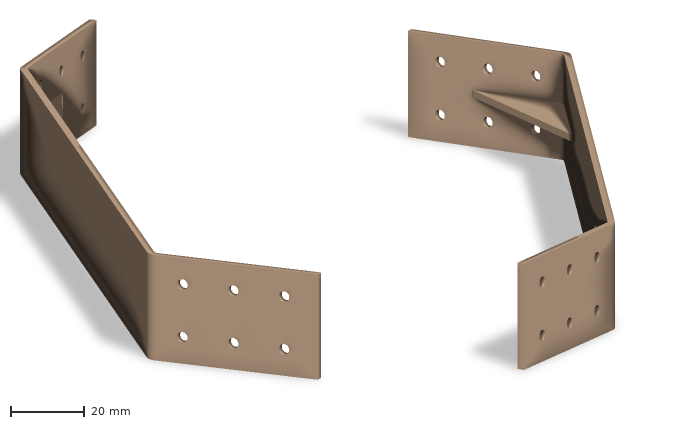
import cadquery as cq
import math

length_x = 150.0
length_y = 200.0
height = 30.0

thickness = 2.0
flange_length = 50.0
bend_outer_radius = 4.0
bend_inner_radius = bend_outer_radius - thickness

hole_diameter = 3.0
hole_pitch = 15.0
hole_end_distance = 10.0
holes_per_row = 3

gusset_thickness = 2.0
upper_flange_leg = 25.5
upper_diagonal_leg = 50.0
lower_flange_leg = 28.8
lower_diagonal_leg = 33.2

upper_corner = (0, length_y - flange_length)
lower_corner = (length_x - flange_length, 0)
diagonal_run = lower_corner[0] - upper_corner[0]
diagonal_drop = upper_corner[1] - lower_corner[1]
diagonal_length = math.hypot(diagonal_run, diagonal_drop)
diagonal = (diagonal_run / diagonal_length, -diagonal_drop / diagonal_length)

upper_half_turn = math.atan2(diagonal_run, diagonal_drop) / 2
lower_half_turn = math.atan2(diagonal_drop, diagonal_run) / 2
upper_inner = (thickness, upper_corner[1] + thickness * math.tan(upper_half_turn))
lower_inner = (lower_corner[0] + thickness * math.tan(lower_half_turn), thickness)


def along_diagonal(point, distance):
    """Move a point along the diagonal towards the lower bend."""
    return (point[0] + distance * diagonal[0], point[1] + distance * diagonal[1])


def make_strip():
    """Flat strip bent into two flanges joined by a diagonal, with round bends."""
    outline = [
        (0, length_y),
        upper_corner,
        lower_corner,
        (length_x, 0),
        (length_x, thickness),
        lower_inner,
        upper_inner,
        (thickness, length_y),
    ]
    strip = cq.Workplane("XY").polyline(outline).close().extrude(height)
    for corners, radius in (
        ((upper_corner, lower_corner), bend_outer_radius),
        ((upper_inner, lower_inner), bend_inner_radius),
    ):
        for x, y in corners:
            edge = cq.selectors.NearestToPointSelector((x, y, height / 2))
            strip = strip.edges("|Z").edges(edge).fillet(radius)
    return strip


def make_gusset(corner, flange_tip, diagonal_tip):
    """Triangular plate at mid-height, filling the bend up to its inner corner."""
    return (
        cq.Workplane("XY")
        .workplane(offset=(height - gusset_thickness) / 2)
        .polyline([corner, flange_tip, diagonal_tip])
        .close()
        .extrude(gusset_thickness)
    )


def make_holes():
    """Cutters running through the lower flange along Y and the upper along X."""
    cutters = cq.Workplane("XY")
    for column in range(holes_per_row):
        end_distance = hole_end_distance + column * hole_pitch
        for side in (-1, 1):
            z = height / 2 + side * hole_pitch / 2
            lower_start = cq.Vector(length_x - end_distance, 0, z)
            upper_start = cq.Vector(0, length_y - end_distance, z)
            for start, axis in (
                (lower_start, cq.Vector(0, 1, 0)),
                (upper_start, cq.Vector(1, 0, 0)),
            ):
                cutters = cutters.add(
                    cq.Solid.makeCylinder(hole_diameter / 2, thickness, start, axis)
                )
    return cutters.combine()


upper_gusset = make_gusset(
    upper_inner,
    (upper_inner[0], upper_inner[1] + upper_flange_leg),
    along_diagonal(upper_inner, upper_diagonal_leg),
)
lower_gusset = make_gusset(
    lower_inner,
    (lower_inner[0] + lower_flange_leg, lower_inner[1]),
    along_diagonal(lower_inner, -lower_diagonal_leg),
)

result = make_strip().cut(make_holes()).union(upper_gusset).union(lower_gusset)